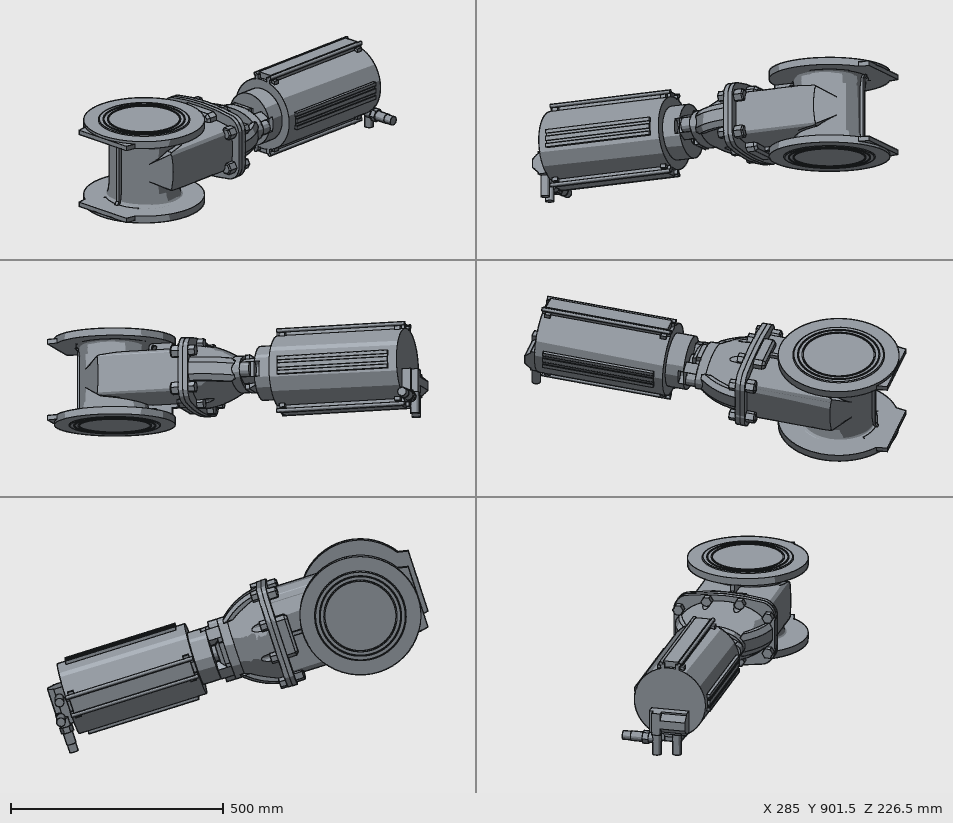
import cadquery as cq
import math


FACE_TO_FACE = 210.0
FLANGE_DIAMETER = 285.0
RAISED_FACE_RADIUS = 105.5
RAISED_FACE_ROOT_RADIUS = 108.0
RAISED_FACE_HEIGHT = 2.0
FLANGE_BACK_Z = 85.5
PIPE_RADIUS = 83.0
COLLAR_RADIUS = 86.0
COLLAR_START_Z = 57.0
COLLAR_END_Z = 78.5
FLARE_RADIUS = 97.0
GROOVE_RADII = ((83.5, 86.5), (94.5, 97.0))
GROOVE_DEPTH = 1.0
FOOT_HALF_WIDTH = 76.0
FOOT_ROOT_HALF_WIDTH = 81.0
FOOT_ROOT_Y = -117.0
FOOT_THICKNESS = 11.0

RIB_THICKNESS = 9.0
RIB_REACH = 91.0
WEB_HOLE_DIAMETER = 13.0
WEB_HOLE_Y = 98.0
WEB_HOLE_Z = 75.0
BODY_RIB_Z = 70.0

HOUSING_HALF_WIDTH = 102.5
HOUSING_SIDE_Z = 37.0
HOUSING_SIDE_BULGE = 2.0
HOUSING_CORNER = 18.0
HOUSING_CROWN_Z = 62.0
HOUSING_END_Y = -9.0
NOSE_END_Y = -55.0
NOSE_HALF_WIDTH = 62.0
NOSE_SIDE_Z = 20.0
SLOPE_START_Y = 96.0
SLOPE_END_Z = 48.0

JOINT_BOTTOM_Y = 195.0
JOINT_SPLIT_Y = 206.0
JOINT_TOP_Y = 218.0
JOINT_HALF_WIDTH = 123.0
JOINT_SIDE_Z = 33.0
JOINT_SHOULDER_X = 95.0
JOINT_SHOULDER_Z = 78.0
JOINT_CROWN_Z = 86.5
JOINT_SEAM = 0.5
BOLT_HEX = 26.0
BOLT_HEAD_HEIGHT = 16.0
TOP_BOLT_X = 40.0
TOP_BOLT_Z = 71.0
CORNER_BOLT_X = 109.0
CORNER_BOLT_Z = 44.0
CORNER_BOSS_X = 102.0
CORNER_BOSS_HEX = 31.0
CORNER_BOSS_CHAMFER = 3.0
CORNER_BOSS_LENGTH = 23.0
PAD_HALF_WIDTH = 51.0
PAD_LENGTH = 27.0
PAD_Z = 79.0
PAD_CORNER = 9.0
PAD_BEVEL = 6.0

BONNET_BASE_Y = 222.0
BONNET_NECK_Y = 308.0
BONNET_TOP_Y = 331.0
BONNET_SECTIONS = (
    (BONNET_BASE_Y, 112.0, 72.0),
    (262.0, 96.0, 64.5),
    (BONNET_NECK_Y, 75.5, 42.0),
)
BOLT_POCKET_RADIUS = 12.0
BOLT_POCKET_Z = 73.0
EAR_HALF_HEIGHT = 28.0
EAR_RIB_HALF_HEIGHT = 14.0
EAR_ROOT_X = 60.0
EAR_SIDE_TAPER = 30.0
EAR_BASE_X = 118.0
EAR_MID_X = 107.0
EAR_MID_Y = 261.0
EAR_TIP_X = 76.5
EAR_TIP_Y = 311.0

YOKE_TOP_Y = 363.5
YOKE_ARM_OUTER_X = 62.0
YOKE_ARM_INNER_X = 37.0
YOKE_ARM_HALF_Z = 29.5
YOKE_CORE_HALF_Z = 10.0
YOKE_LUG_END_X = 75.5
YOKE_LUG_HALF_Z = 18.0
YOKE_LUG_TOP_Y = 354.0
YOKE_SLOT_TOP_Y = 376.0
GLAND_STEP_Y = 342.0
GLAND_TOP_Y = 353.0
GLAND_HALF_X = 26.0
GLAND_CAP_HALF_X = 31.0
GLAND_CAP_HALF_Z = 41.0
GLAND_BEVEL = 10.0
STEM_RADIUS = 21.0

NECK_RADIUS = 64.0
DRIVE_START_Y = 407.5
DRIVE_END_Y = 722.5
DRIVE_RADIUS = 86.5
RAIL_TOP_Z = 100.4
RAIL_HALF_WIDTH = 18.0
RAIL_END_GAP = 8.0
RAIL_ROD_RADIUS = 4.5
RAIL_ROOT_Z = 75.0
CLIP_HALF_WIDTH = 32.0
CLIP_LENGTH = 14.0
CLIP_TOP_Z = 89.0
SIDE_RAIL_X = 92.0
SIDE_RAIL_HALF_Z = 21.0
SIDE_RAIL_INSET = 21.5
SIDE_GROOVE_Z = 9.0
SIDE_GROOVE_WIDTH = 7.0
SIDE_GROOVE_DEPTH = 3.0

PART_END_Y = 759.0
PART_BOTTOM_Z = -121.5
BLOCK_LEFT_X = -46.0
BLOCK_RIGHT_X = 44.5
BLOCK_TOP_Z = -17.0
BLOCK_BOTTOM_Z = -71.5
BLOCK_STEP_Y = 744.0
COVER_ROOT_INSET = 4.0
COVER_FACE_INSET = 17.0
TUBE_RADIUS = 10.3
LEFT_TUBE_X = -21.5
LEFT_TUBE_Y = 737.5
RIGHT_TUBE_X = 24.5
FITTING_Y = 743.0
FITTING_Z = -84.0
FITTING_NUT_END_X = 59.0
FITTING_NUT_HEX = 31.0
FITTING_BODY_END_X = 88.0
FITTING_BODY_RADIUS = 11.5
FITTING_END_X = 108.0
FITTING_TIP_RADIUS = 10.5

SIGNS = (-1, 1)
CORNERS = tuple((sx, sz) for sx in SIGNS for sz in SIGNS)


def section(y):
    """Workplane across the stem axis at height y; local axes are X and Z."""
    return cq.Workplane("XZ", origin=(0, y, 0))


def box(x0, x1, y0, y1, z0, z1):
    return cq.Workplane("XY").box(x1 - x0, y1 - y0, z1 - z0, centered=False).translate((x0, y0, z0))


def round_bar(radius, y0, y1, x=0.0, z=0.0):
    return section(y0).center(x, z).circle(radius).extrude(y0 - y1)


def hex_bar(size, y0, y1, x, z):
    return section(y0).center(x, z).polygon(6, size).extrude(y0 - y1)


def pipe():
    """Turned pipe with collars, flares, flanges and raised faces."""
    face_z = FACE_TO_FACE / 2
    flange_z = face_z - RAISED_FACE_HEIGHT
    flange_radius = FLANGE_DIAMETER / 2
    upper = (
        cq.Workplane("XZ")
        .moveTo(0, 0)
        .lineTo(PIPE_RADIUS, 0)
        .lineTo(PIPE_RADIUS, COLLAR_START_Z)
        .lineTo(COLLAR_RADIUS, COLLAR_END_Z)
        .tangentArcPoint((FLARE_RADIUS, FLANGE_BACK_Z), relative=False)
        .lineTo(flange_radius, FLANGE_BACK_Z)
        .lineTo(flange_radius, flange_z)
        .lineTo(RAISED_FACE_ROOT_RADIUS, flange_z)
        .lineTo(RAISED_FACE_RADIUS, face_z)
        .lineTo(0, face_z)
        .close()
        .revolve(360, (0, 0, 0), (0, 1, 0))
    )
    for inner, outer in GROOVE_RADII:
        groove = cq.Workplane("XY").circle(outer).circle(inner).extrude(GROOVE_DEPTH)
        upper = upper.cut(groove.translate((0, 0, face_z - GROOVE_DEPTH)))
    foot = (
        cq.Workplane("XY", origin=(0, 0, FLANGE_BACK_Z))
        .moveTo(-FOOT_ROOT_HALF_WIDTH, FOOT_ROOT_Y)
        .lineTo(-FOOT_HALF_WIDTH, -flange_radius)
        .lineTo(FOOT_HALF_WIDTH, -flange_radius)
        .lineTo(FOOT_ROOT_HALF_WIDTH, FOOT_ROOT_Y)
        .lineTo(0, 0)
        .close()
        .extrude(FOOT_THICKNESS)
    )
    upper = upper.union(foot)
    return upper.union(upper.mirror("XY"))


def ribs():
    """Middle-plane rib around the pipe, webs to the flanges and housing ribs."""
    half = RIB_THICKNESS / 2
    front_rib = (
        cq.Workplane("YZ", origin=(-half, 0, 0))
        .moveTo(0, -FLANGE_BACK_Z)
        .lineTo(-FLARE_RADIUS, -FLANGE_BACK_Z)
        .lineTo(-RIB_REACH, -COLLAR_END_Z)
        .lineTo(-RIB_REACH, COLLAR_END_Z)
        .lineTo(-FLARE_RADIUS, FLANGE_BACK_Z)
        .lineTo(0, FLANGE_BACK_Z)
        .close()
        .extrude(RIB_THICKNESS)
    )
    web = box(-half, half, 0, FLANGE_DIAMETER / 2, -FLANGE_BACK_Z, FLANGE_BACK_Z)
    holes = (
        cq.Workplane("YZ", origin=(-half, 0, 0))
        .pushPoints([(WEB_HOLE_Y, sign * WEB_HOLE_Z) for sign in SIGNS])
        .circle(WEB_HOLE_DIAMETER / 2)
        .extrude(RIB_THICKNESS)
    )
    housing_rib = box(-half, half, 0, JOINT_BOTTOM_Y, -BODY_RIB_Z, BODY_RIB_Z)
    return front_rib.union(web.cut(holes)).union(housing_rib)


def housing_outline():
    """Bulged sides, rounded corners and gently crowned top and bottom."""
    half_width = HOUSING_HALF_WIDTH
    side_z = HOUSING_SIDE_Z
    crown_z = HOUSING_CROWN_Z
    corner = HOUSING_CORNER
    edge_x = half_width - HOUSING_SIDE_BULGE
    shoulder_x = edge_x - corner
    shoulder_z = side_z + corner
    near = corner * (1 - math.sqrt(0.5))
    mid_x = edge_x - near
    mid_z = shoulder_z - near
    return (
        section(NOSE_END_Y)
        .moveTo(edge_x, -side_z)
        .threePointArc((half_width, 0), (edge_x, side_z))
        .threePointArc((mid_x, mid_z), (shoulder_x, shoulder_z))
        .threePointArc((0, crown_z), (-shoulder_x, shoulder_z))
        .threePointArc((-mid_x, mid_z), (-edge_x, side_z))
        .threePointArc((-half_width, 0), (-edge_x, -side_z))
        .threePointArc((-mid_x, -mid_z), (-shoulder_x, -shoulder_z))
        .threePointArc((0, -crown_z), (shoulder_x, -shoulder_z))
        .threePointArc((mid_x, -mid_z), (edge_x, -side_z))
        .close()
    )


def housing():
    """Gate housing whose far end is tapered to a nose on the sides, top and bottom."""
    body = housing_outline().extrude(NOSE_END_Y - JOINT_BOTTOM_Y)
    plan = (
        cq.Workplane("XY", origin=(0, 0, -HOUSING_CROWN_Z))
        .moveTo(-NOSE_HALF_WIDTH, NOSE_END_Y)
        .lineTo(NOSE_HALF_WIDTH, NOSE_END_Y)
        .lineTo(HOUSING_HALF_WIDTH, HOUSING_END_Y)
        .lineTo(HOUSING_HALF_WIDTH, JOINT_BOTTOM_Y)
        .lineTo(-HOUSING_HALF_WIDTH, JOINT_BOTTOM_Y)
        .lineTo(-HOUSING_HALF_WIDTH, HOUSING_END_Y)
        .close()
        .extrude(2 * HOUSING_CROWN_Z)
    )
    profile = (
        cq.Workplane("YZ", origin=(-HOUSING_HALF_WIDTH, 0, 0))
        .moveTo(JOINT_BOTTOM_Y, -HOUSING_CROWN_Z)
        .lineTo(JOINT_BOTTOM_Y, HOUSING_CROWN_Z)
        .lineTo(SLOPE_START_Y, HOUSING_CROWN_Z)
        .lineTo(HOUSING_END_Y, SLOPE_END_Z)
        .lineTo(NOSE_END_Y, NOSE_SIDE_Z)
        .lineTo(NOSE_END_Y, -NOSE_SIDE_Z)
        .lineTo(HOUSING_END_Y, -SLOPE_END_Z)
        .lineTo(SLOPE_START_Y, -HOUSING_CROWN_Z)
        .close()
        .extrude(2 * HOUSING_HALF_WIDTH)
    )
    return body.intersect(plan).intersect(profile)


def joint_plate(y0, y1, inset):
    """Joint flange plate; inset shrinks its outline."""
    half_x = JOINT_HALF_WIDTH - inset
    shoulder_z = JOINT_SHOULDER_Z - inset
    corner_dx = half_x - JOINT_SHOULDER_X
    corner_dz = shoulder_z - JOINT_SIDE_Z
    mid_x = JOINT_SHOULDER_X + corner_dx * math.sqrt(0.5)
    mid_z = JOINT_SIDE_Z + corner_dz * math.sqrt(0.5)
    crown_z = JOINT_CROWN_Z - inset
    return (
        section(y0)
        .moveTo(half_x, -JOINT_SIDE_Z)
        .lineTo(half_x, JOINT_SIDE_Z)
        .threePointArc((mid_x, mid_z), (JOINT_SHOULDER_X, shoulder_z))
        .threePointArc((0, crown_z), (-JOINT_SHOULDER_X, shoulder_z))
        .threePointArc((-mid_x, mid_z), (-half_x, JOINT_SIDE_Z))
        .lineTo(-half_x, -JOINT_SIDE_Z)
        .threePointArc((-mid_x, -mid_z), (-JOINT_SHOULDER_X, -shoulder_z))
        .threePointArc((0, -crown_z), (JOINT_SHOULDER_X, -shoulder_z))
        .threePointArc((mid_x, -mid_z), (half_x, -JOINT_SIDE_Z))
        .close()
        .extrude(y0 - y1)
    )


def joint():
    """Bolted joint: two plates, bolt heads, corner bosses and the pads below."""
    solid = joint_plate(JOINT_BOTTOM_Y, JOINT_SPLIT_Y, 0)
    solid = solid.union(joint_plate(JOINT_SPLIT_Y, JOINT_TOP_Y, JOINT_SEAM))
    head_top = JOINT_TOP_Y + BOLT_HEAD_HEIGHT
    boss_end = JOINT_BOTTOM_Y - CORNER_BOSS_LENGTH
    for sx, sz in CORNERS:
        for x, z in ((TOP_BOLT_X, TOP_BOLT_Z), (CORNER_BOLT_X, CORNER_BOLT_Z)):
            solid = solid.union(hex_bar(BOLT_HEX, JOINT_TOP_Y, head_top, sx * x, sz * z))
        boss = hex_bar(CORNER_BOSS_HEX, boss_end, JOINT_BOTTOM_Y, sx * CORNER_BOSS_X, sz * CORNER_BOLT_Z)
        solid = solid.union(boss.faces("<Y").chamfer(CORNER_BOSS_CHAMFER))
    pad = (
        box(-PAD_HALF_WIDTH, PAD_HALF_WIDTH, JOINT_BOTTOM_Y - PAD_LENGTH, JOINT_BOTTOM_Y, -PAD_Z, PAD_Z)
        .edges("|Y")
        .chamfer(PAD_CORNER)
        .faces("<Y")
        .chamfer(PAD_BEVEL)
    )
    return solid.union(pad)


def ear_outline(z):
    """Outline of the plate on the +X flank of the bonnet, following its curved side."""
    return (
        cq.Workplane("XY", origin=(0, 0, z))
        .moveTo(EAR_ROOT_X, JOINT_SPLIT_Y)
        .lineTo(EAR_BASE_X, JOINT_SPLIT_Y)
        .threePointArc((EAR_MID_X, EAR_MID_Y), (EAR_TIP_X, EAR_TIP_Y))
        .lineTo(EAR_ROOT_X, BONNET_TOP_Y)
        .close()
    )


def ear():
    """Ear on the +X flank: a raised middle rib with sloping sides."""
    rib = ear_outline(-EAR_RIB_HALF_HEIGHT).extrude(2 * EAR_RIB_HALF_HEIGHT)
    slope = EAR_HALF_HEIGHT - EAR_RIB_HALF_HEIGHT
    flank = ear_outline(EAR_RIB_HALF_HEIGHT).extrude(slope, taper=EAR_SIDE_TAPER)
    return rib.union(flank).union(flank.mirror("XY"))


def bonnet():
    """Oval dome with bolt pockets and a stiffening ear on each flank."""
    base_y, base_x, base_z = BONNET_SECTIONS[0]
    dome = section(base_y).ellipse(base_x, base_z)
    last_y = base_y
    for y, half_x, half_z in BONNET_SECTIONS[1:]:
        dome = dome.workplane(offset=last_y - y).ellipse(half_x, half_z)
        last_y = y
    dome = dome.loft()
    collar = section(last_y).ellipse(half_x, half_z).extrude(last_y - BONNET_TOP_Y)
    foot = section(JOINT_TOP_Y).ellipse(base_x, base_z).extrude(JOINT_TOP_Y - base_y)
    dome = dome.union(collar).union(foot)
    for sx, sz in CORNERS:
        dome = dome.cut(
            round_bar(BOLT_POCKET_RADIUS, BONNET_BASE_Y, BONNET_TOP_Y, sx * TOP_BOLT_X, sz * BOLT_POCKET_Z)
        )
    flank_ear = ear()
    return dome.union(flank_ear).union(flank_ear.mirror("YZ"))


def yoke():
    """Two arms and lugs that carry the drive, with the stem gland between them."""
    lugs = (
        section(BONNET_TOP_Y)
        .slot2D(2 * YOKE_LUG_END_X, 2 * YOKE_LUG_HALF_Z)
        .extrude(BONNET_TOP_Y - YOKE_LUG_TOP_Y)
    )
    outline = [
        (YOKE_ARM_OUTER_X, -YOKE_LUG_HALF_Z),
        (YOKE_ARM_OUTER_X, YOKE_LUG_HALF_Z),
        (YOKE_ARM_INNER_X, YOKE_ARM_HALF_Z),
        (-YOKE_ARM_INNER_X, YOKE_ARM_HALF_Z),
        (-YOKE_ARM_OUTER_X, YOKE_LUG_HALF_Z),
        (-YOKE_ARM_OUTER_X, -YOKE_LUG_HALF_Z),
        (-YOKE_ARM_INNER_X, -YOKE_ARM_HALF_Z),
        (YOKE_ARM_INNER_X, -YOKE_ARM_HALF_Z),
    ]
    arms = section(BONNET_TOP_Y).polyline(outline).close().extrude(BONNET_TOP_Y - YOKE_TOP_Y)
    solid = lugs.union(arms)
    for sign in SIGNS:
        pocket = (
            section(GLAND_STEP_Y)
            .moveTo(-YOKE_ARM_INNER_X, sign * YOKE_ARM_HALF_Z)
            .lineTo(-STEM_RADIUS, sign * YOKE_CORE_HALF_Z)
            .lineTo(STEM_RADIUS, sign * YOKE_CORE_HALF_Z)
            .lineTo(YOKE_ARM_INNER_X, sign * YOKE_ARM_HALF_Z)
            .close()
            .extrude(GLAND_STEP_Y - YOKE_TOP_Y)
        )
        solid = solid.cut(pocket)
    solid = solid.union(
        box(-GLAND_HALF_X, GLAND_HALF_X, BONNET_TOP_Y, GLAND_STEP_Y, -GLAND_CAP_HALF_Z, GLAND_CAP_HALF_Z)
    )
    cap = (
        section(GLAND_STEP_Y)
        .rect(2 * GLAND_CAP_HALF_X, 2 * GLAND_CAP_HALF_Z)
        .workplane(offset=GLAND_STEP_Y - GLAND_TOP_Y)
        .rect(2 * (GLAND_CAP_HALF_X - GLAND_BEVEL), 2 * (GLAND_CAP_HALF_Z - GLAND_BEVEL))
        .loft(ruled=True)
    )
    return solid.union(cap).union(round_bar(STEM_RADIUS, GLAND_TOP_Y, YOKE_TOP_Y))


def neck():
    """Round adapter between yoke and drive, with a hollow above each lug."""
    solid = round_bar(NECK_RADIUS, YOKE_TOP_Y, DRIVE_START_Y)
    for sign in SIGNS:
        hollow = round_bar(YOKE_LUG_HALF_Z, YOKE_LUG_TOP_Y, YOKE_SLOT_TOP_Y, sign * YOKE_ARM_OUTER_X)
        solid = solid.cut(hollow)
    return solid


def top_rail():
    """Mounting rail on top of the drive: plate, two edge rods and end clips."""
    rod_x = RAIL_HALF_WIDTH + RAIL_ROD_RADIUS
    y0 = DRIVE_START_Y + RAIL_END_GAP
    y1 = DRIVE_END_Y - RAIL_END_GAP
    rail = box(-RAIL_HALF_WIDTH, RAIL_HALF_WIDTH, y0, y1, RAIL_ROOT_Z, RAIL_TOP_Z)
    for sign in SIGNS:
        rod_z = RAIL_TOP_Z - RAIL_ROD_RADIUS
        rail = rail.union(round_bar(RAIL_ROD_RADIUS, DRIVE_START_Y, DRIVE_END_Y, sign * rod_x, rod_z))
        x0, x1 = sorted((sign * (RAIL_HALF_WIDTH - RAIL_ROD_RADIUS), sign * rod_x))
        rail = rail.union(box(x0, x1, DRIVE_START_Y, DRIVE_END_Y, RAIL_ROOT_Z, rod_z))
    for clip_y in (y0, y1 - CLIP_LENGTH):
        clip = box(-CLIP_HALF_WIDTH, CLIP_HALF_WIDTH, clip_y, clip_y + CLIP_LENGTH, RAIL_ROOT_Z, CLIP_TOP_Z)
        rail = rail.union(clip)
    return rail


def side_rail():
    """Grooved rail on the +X flank of the drive."""
    y0 = DRIVE_START_Y + SIDE_RAIL_INSET
    y1 = DRIVE_END_Y - SIDE_RAIL_INSET
    rail = box(RAIL_ROOT_Z, SIDE_RAIL_X, y0, y1, -SIDE_RAIL_HALF_Z, SIDE_RAIL_HALF_Z)
    for sign in SIGNS:
        z0 = sign * SIDE_GROOVE_Z - SIDE_GROOVE_WIDTH / 2
        groove = box(SIDE_RAIL_X - SIDE_GROOVE_DEPTH, SIDE_RAIL_X, y0, y1, z0, z0 + SIDE_GROOVE_WIDTH)
        rail = rail.cut(groove)
    return rail


def drive():
    """Cylinder barrel with its four rails."""
    barrel = round_bar(DRIVE_RADIUS, DRIVE_START_Y, DRIVE_END_Y)
    rail = top_rail()
    flank = side_rail()
    for piece in (rail, rail.mirror("XY"), flank, flank.mirror("YZ")):
        barrel = barrel.union(piece)
    return barrel


def fitting_bar(profile, x0, x1):
    """Length of the side fitting between x0 and x1."""
    return profile(cq.Workplane("YZ", origin=(x0, FITTING_Y, FITTING_Z))).extrude(x1 - x0)


def air_block():
    """Connection block on the end of the drive with two tubes and a side fitting."""
    block = box(BLOCK_LEFT_X, BLOCK_RIGHT_X, DRIVE_END_Y, BLOCK_STEP_Y, BLOCK_BOTTOM_Z, BLOCK_TOP_Z)
    cover = (
        cq.Workplane("YZ", origin=(BLOCK_LEFT_X, 0, 0))
        .moveTo(BLOCK_STEP_Y, BLOCK_TOP_Z - COVER_ROOT_INSET)
        .lineTo(PART_END_Y, BLOCK_TOP_Z - COVER_FACE_INSET)
        .lineTo(PART_END_Y, BLOCK_BOTTOM_Z + COVER_FACE_INSET)
        .lineTo(BLOCK_STEP_Y, BLOCK_BOTTOM_Z + COVER_ROOT_INSET)
        .close()
        .extrude(RIGHT_TUBE_X - BLOCK_LEFT_X)
    )
    right_tube_y = PART_END_Y - TUBE_RADIUS
    left_tube = (
        cq.Workplane("XY", origin=(LEFT_TUBE_X, LEFT_TUBE_Y, PART_BOTTOM_Z))
        .circle(TUBE_RADIUS)
        .extrude(BLOCK_BOTTOM_Z - PART_BOTTOM_Z)
    )
    right_tube = (
        cq.Workplane("XY", origin=(RIGHT_TUBE_X, right_tube_y, PART_BOTTOM_Z))
        .circle(TUBE_RADIUS)
        .extrude(BLOCK_TOP_Z - PART_BOTTOM_Z)
    )
    nut = fitting_bar(lambda plane: plane.polygon(6, FITTING_NUT_HEX), BLOCK_RIGHT_X, FITTING_NUT_END_X)
    body = fitting_bar(lambda plane: plane.circle(FITTING_BODY_RADIUS), RIGHT_TUBE_X, FITTING_BODY_END_X)
    tip = fitting_bar(lambda plane: plane.circle(FITTING_TIP_RADIUS), FITTING_BODY_END_X, FITTING_END_X)
    socket_left = RIGHT_TUBE_X - TUBE_RADIUS
    socket_right = RIGHT_TUBE_X + TUBE_RADIUS
    socket = box(socket_left, socket_right, BLOCK_STEP_Y, PART_END_Y, BLOCK_BOTTOM_Z, BLOCK_TOP_Z)
    for piece in (cover, socket, left_tube, right_tube, nut, body, tip):
        block = block.union(piece)
    return block


result = pipe()
for feature in (ribs(), housing(), joint(), bonnet(), yoke(), neck(), drive(), air_block()):
    result = result.union(feature)